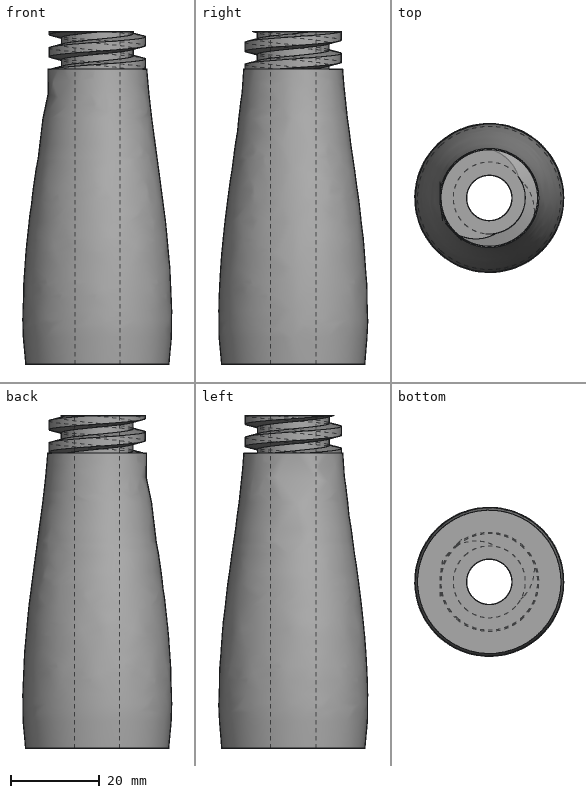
import cadquery as cq
import math

total_height = 75.2
neck_height = 8.5
body_height = total_height - neck_height

base_radius = 16.2
belly_radius = 33.71 / 2
belly_z = 9.5
waist_radius = 15.3
waist_z = 33.4
body_top_radius = 11.2

core_radius = 16.27 / 2
crest_radius = 21.83 / 2
bore_radius = 10.2 / 2
pitch = 5.0
crest_width = 2.0
root_width = 3.4
seam_angle = 50
crest_z_at_x_axis = 68.0
root_overlap = 0.8


def make_body():
    """Revolved grip with one smooth side from the base edge over the belly to the shoulder."""
    outline = (
        cq.Workplane("XZ")
        .lineTo(base_radius, 0)
        .spline(
            [(belly_radius, belly_z), (waist_radius, waist_z), (body_top_radius, body_height)],
            tangents=[None, (0, 1), None, None],
            includeCurrent=True,
        )
        .lineTo(0, body_height)
        .close()
    )
    return outline.revolve(360, (0, 0, 0), (0, 1, 0))


def make_thread():
    """Right-handed trapezoidal thread, cut flat by the top face and the body shoulder."""
    start_z = crest_z_at_x_axis - pitch
    turns = math.ceil((total_height + pitch / 2 - start_z) / pitch)
    flank_slope = (root_width - crest_width) / 2 / (crest_radius - core_radius)
    inner_radius = core_radius - root_overlap
    half_crest = crest_width / 2
    half_inner = root_width / 2 + root_overlap * flank_slope

    path = cq.Wire.makeHelix(pitch, turns * pitch, core_radius, center=cq.Vector(0, 0, start_z))
    profile = cq.Workplane("XZ").polyline([
        (inner_radius, start_z - half_inner),
        (crest_radius, start_z - half_crest),
        (crest_radius, start_z + half_crest),
        (inner_radius, start_z + half_inner),
    ]).close()
    ridge = profile.sweep(cq.Workplane(obj=path), isFrenet=True)
    neck_zone = cq.Workplane("XY").workplane(offset=body_height).circle(body_top_radius).extrude(neck_height)
    return ridge.intersect(neck_zone)


def make_core():
    """Cylinder under the thread."""
    core = cq.Workplane("XY").circle(core_radius).extrude(total_height)
    return core.rotate((0, 0, 0), (0, 0, 1), seam_angle)


def make_bore():
    """Plain hole along the whole axis."""
    return cq.Workplane("XY").circle(bore_radius).extrude(total_height)


neck = make_core().union(make_thread())
result = make_body().union(neck).cut(make_bore())